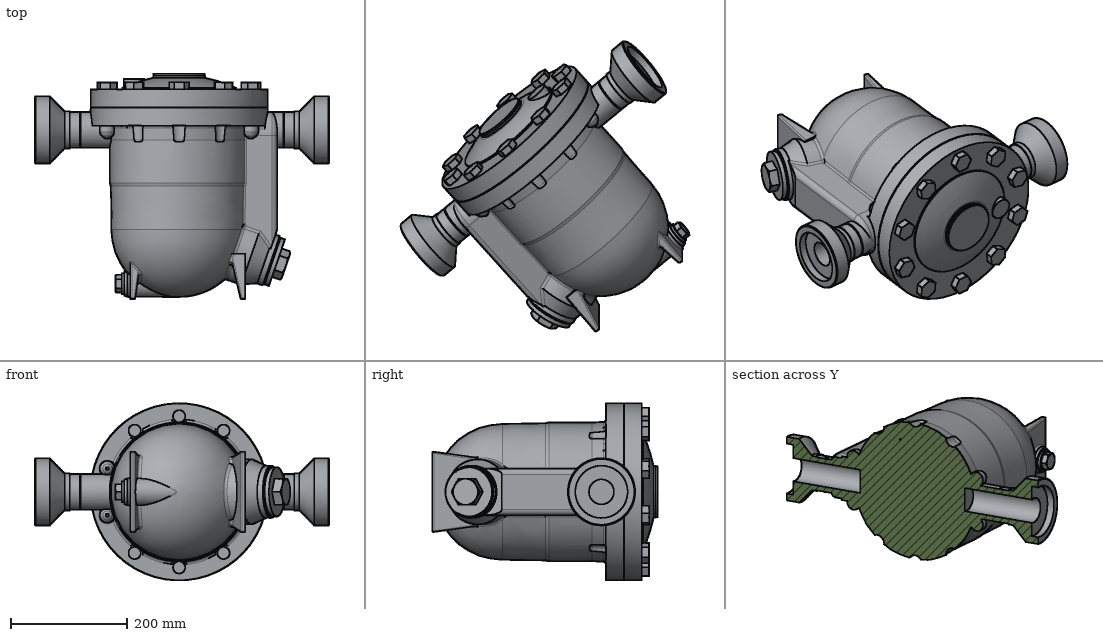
import cadquery as cq
import math


match_tolerance = 1.0
shortest_blend_span = 2.0

flange_radius = 305 / 2
flange_thickness = 31.0
flange_under_y = 7.5
joint_y = flange_under_y + flange_thickness
flange_top_y = joint_y + flange_thickness
joint_gap = 1.0
joint_gap_depth = 0.6

neck_radius = 121.0
neck_end_y = -16.6
neck_root_fillet = 4.0
shell_radius = 119.6
step_y = -91.0
step_length = 5.5
below_step_radius = 118.2
dome_radius = 117.0
dome_center_y = -170.5

hex_sides = 6
bolt_count = 10
bolt_circle_radius = 130.0
bolt_pitch_angle = 360 / bolt_count
head_corner_diameter = 34.6
head_height = 12.3
shank_diameter = 21.0
shank_recess = 0.5
scallop_radius = 14.0
scallop_end_y = -20.7
scallop_end_fillet = 4.0
cap_angles = (18, 162, 198, 342)
cap_radius = 13.0
cap_root_fillet = 1.5
cap_shoulder_y = -3.0
cap_corner_radius = 8.0
cap_corner_y = -11.5
cap_tip_y = -15.5
cap_tip_radius = 2.5

cover_base_radius = 98.0
cover_base_y = 72.2
crown_root_radius = 48.6
crown_root_y = 88.7
crown_mid_radius = 75.0
crown_mid_y = 81.3
disc_radius = 89.8 / 2
disc_chamfer = 0.8
disc_line_y = 93.4
cover_top_y = 96.8
cover_boss_diameter = 36.0
cover_boss_x = -77.5
cover_boss_top_y = 87.9

overall_length = 506.0
pipe_middle_x = 5.0
half_length = overall_length / 2
pipe_radius = 31.0
socket_radius = 58.0
socket_length = 25.5
socket_chamfer = 1.5
cone_length = 25.5
weld_radius = 32.2
weld_start = 59.6
seam_offset = 77.0
seam_width = 1.5
seam_depth = 0.5
socket_bore_diameter = 90.0
socket_bore_depth = 13.0
pipe_bore_diameter = 43.0
left_bore_end_x = -100.0

passage_half_width = 40.0
passage_round_y = -9.2
passage_outer_x = 169.0
passage_edge_fillet = 10.0
passage_root_fillet = 4.0
passage_strainer_fillet = 8.0
passage_end_y = -205.0
passage_trim_distance = 160.0

strainer_tilt = 19.0
strainer_radius = 56.0
strainer_root_fillet = 6.0
taper_start = 132.0
taper_end = 157.5
strainer_face_radius = 45.0
strainer_face = 167.5
gasket_radius = 83 / 2
gasket_end = 170.0
plug_flange_radius = 85 / 2
plug_flange_end = 178.0
plug_hex_corner_diameter = 52.0
plug_hex_end = 194.5
hex_chamfer_angle = 30.0

drain_y = -264.4
drain_radius = 23.0
drain_root_fillet = 3.5
drain_face_x = -89.0
drain_nose_radius = 21.0
drain_nose_x = -94.0
drain_flange_radius = 18.0
drain_flange_x = -98.7
drain_hex_corner_diameter = 30.7
drain_hex_x = -109.5

foot_bottom_y = -291.0
foot_bottom_half_width = 69.5
foot_side_taper = 8.0
foot_tip_thickness = 8.5
foot_edge_fillet = 2.5
foot_root_fillet = 4.0
foot_root_reach = 26.0
left_foot_x = -84.0
left_foot_taper = 8.0
left_foot_top_y = -218.0
right_foot_x = 114.2
right_foot_taper = 13.0
right_foot_top_y = -213.0
foot_root_top_y = right_foot_top_y - foot_edge_fillet / 2


def along_y(x, z, diameter, start_y, end_y):
    """Cylinder parallel to Y."""
    base = cq.Workplane("XZ", origin=(x, start_y, z))
    return base.circle(diameter / 2).extrude(start_y - end_y)


def plug_hexagon(start_x, corner_diameter, height):
    """Hexagon along +X with a chamfered outer end."""
    corner_radius = corner_diameter / 2
    flat_radius = corner_radius * math.cos(math.pi / hex_sides)
    chamfer_drop = (corner_radius - flat_radius) * math.tan(math.radians(hex_chamfer_angle))
    prism = cq.Workplane("YZ").polygon(hex_sides, corner_diameter).extrude(height)
    envelope = (
        cq.Workplane("XY")
        .lineTo(0, corner_radius)
        .lineTo(height - chamfer_drop, corner_radius)
        .lineTo(height, flat_radius)
        .lineTo(height, 0)
        .close()
        .revolve(360, (0, 0), (1, 0))
    )
    return prism.intersect(envelope).translate((start_x, 0, 0))


def bolt_angles():
    return [90 + index * bolt_pitch_angle for index in range(bolt_count)]


def bolt_position(angle):
    radians = math.radians(angle)
    return bolt_circle_radius * math.cos(radians), bolt_circle_radius * math.sin(radians)


def vessel():
    step_end_y = step_y - step_length
    profile = (
        cq.Workplane("XY")
        .moveTo(0, flange_top_y)
        .lineTo(flange_radius, flange_top_y)
        .lineTo(flange_radius, flange_under_y)
        .lineTo(neck_radius + neck_root_fillet, flange_under_y)
        .radiusArc((neck_radius, flange_under_y - neck_root_fillet), -neck_root_fillet)
        .lineTo(shell_radius, neck_end_y)
        .lineTo(shell_radius, step_y)
        .lineTo(below_step_radius, step_end_y)
        .lineTo(dome_radius, dome_center_y)
        .radiusArc((0, dome_center_y - dome_radius), dome_radius)
        .close()
    )
    body = profile.revolve(360, (0, 0), (0, 1))
    gap = (
        cq.Workplane("XZ", origin=(0, joint_y + joint_gap / 2, 0))
        .circle(flange_radius + joint_gap)
        .circle(flange_radius - joint_gap_depth)
        .extrude(joint_gap)
    )
    return body.cut(gap)


def cover_top():
    profile = (
        cq.Workplane("XY")
        .moveTo(0, flange_top_y)
        .lineTo(cover_base_radius, flange_top_y)
        .lineTo(cover_base_radius, cover_base_y)
        .threePointArc((crown_mid_radius, crown_mid_y), (crown_root_radius, crown_root_y))
        .lineTo(disc_radius, crown_root_y + disc_chamfer)
        .lineTo(disc_radius, disc_line_y)
        .lineTo(disc_radius - disc_chamfer, disc_line_y)
        .lineTo(disc_radius - disc_chamfer, cover_top_y)
        .lineTo(0, cover_top_y)
        .close()
    )
    crown = profile.revolve(360, (0, 0), (0, 1))
    return crown.union(along_y(cover_boss_x, 0, cover_boss_diameter, cover_boss_top_y, flange_top_y))


def bolt_heads():
    heads = cq.Workplane("XY")
    for angle in bolt_angles():
        head = (
            cq.Workplane("XZ", origin=(0, flange_top_y + head_height, 0))
            .center(bolt_circle_radius, 0)
            .transformed(rotate=(0, 0, 90))
            .polygon(hex_sides, head_corner_diameter)
            .extrude(head_height)
            .rotate((0, 0, 0), (0, 1, 0), -angle)
        )
        heads = heads.union(head)
    return heads


def nut_caps():
    profile = (
        cq.Workplane("XY")
        .moveTo(0, flange_under_y)
        .lineTo(cap_radius + cap_root_fillet, flange_under_y)
        .radiusArc((cap_radius, flange_under_y - cap_root_fillet), -cap_root_fillet)
        .lineTo(cap_radius, cap_shoulder_y)
        .radiusArc((cap_corner_radius, cap_corner_y), cap_radius)
        .lineTo(cap_tip_radius, cap_tip_y)
        .lineTo(0, cap_tip_y)
        .close()
    )
    cap = profile.revolve(360, (0, 0), (0, 1))
    caps = cq.Workplane("XY")
    for angle in cap_angles:
        x, z = bolt_position(angle)
        caps = caps.union(cap.translate((x, 0, z)))
    return caps


def bolt_clearances():
    """Scallops in the neck and the slightly sunk shank ends at the bolts without a cap."""
    cuts = cq.Workplane("XY")
    for angle in bolt_angles():
        if angle % 360 in cap_angles:
            continue
        x, z = bolt_position(angle)
        scallop = along_y(x, z, 2 * scallop_radius, flange_under_y, scallop_end_y)
        scallop = scallop.faces("<Y").edges().fillet(scallop_end_fillet)
        shank_end = along_y(x, z, shank_diameter, flange_under_y + shank_recess, flange_under_y)
        cuts = cuts.union(scallop).union(shank_end)
    return cuts


def pipe_end():
    """Half of the pipe run: socket, cone, weld bead and pipe, built toward +X from x = 0."""
    weld_x = half_length - weld_start
    cone_x = half_length - socket_length - cone_length
    profile = (
        cq.Workplane("XY")
        .lineTo(0, pipe_radius)
        .lineTo(half_length - seam_offset - seam_width, pipe_radius)
        .lineTo(half_length - seam_offset - seam_width, pipe_radius - seam_depth)
        .lineTo(half_length - seam_offset, pipe_radius - seam_depth)
        .lineTo(half_length - seam_offset, pipe_radius)
        .lineTo(weld_x, pipe_radius)
        .lineTo(weld_x, weld_radius)
        .lineTo(cone_x, weld_radius)
        .lineTo(half_length - socket_length, socket_radius)
        .lineTo(half_length - socket_chamfer, socket_radius)
        .lineTo(half_length, socket_radius - socket_chamfer)
        .lineTo(half_length, 0)
        .close()
    )
    return profile.revolve(360, (0, 0), (1, 0))


def pipe_run():
    right = pipe_end()
    left = right.mirror("YZ")
    return right.union(left).translate((pipe_middle_x, 0, 0))


def bore_from(end_x, diameter, depth):
    """Bore along X starting at end_x; a negative depth runs toward -X."""
    return cq.Workplane("YZ", origin=(end_x, 0, 0)).circle(diameter / 2).extrude(depth)


def pipe_bores():
    left_x = pipe_middle_x - half_length
    right_x = pipe_middle_x + half_length
    bore_depth = left_bore_end_x - left_x
    bores = bore_from(left_x, socket_bore_diameter, socket_bore_depth)
    bores = bores.union(bore_from(left_x, pipe_bore_diameter, bore_depth))
    bores = bores.union(bore_from(right_x, socket_bore_diameter, -socket_bore_depth))
    return bores.union(bore_from(right_x, pipe_bore_diameter, -bore_depth))


def tilt_to_strainer(shape):
    """Move a shape built along +X from the origin onto the inclined strainer axis."""
    return shape.rotate((0, 0, 0), (0, 0, 1), -strainer_tilt).translate((0, dome_center_y, 0))


def outlet_passage():
    """Round-ended block toward +X, trimmed square to the strainer axis so it stays behind the boss face."""
    block = (
        cq.Workplane("YZ")
        .moveTo(passage_end_y, -passage_half_width)
        .lineTo(passage_round_y, -passage_half_width)
        .radiusArc((passage_round_y, passage_half_width), -passage_half_width)
        .lineTo(passage_end_y, passage_half_width)
        .close()
        .extrude(passage_outer_x)
    )
    block = block.faces(">X").edges("not <Y").fillet(passage_edge_fillet)
    keep = cq.Workplane("YZ").rect(2 * overall_length, 2 * overall_length).extrude(passage_trim_distance)
    keep = keep.union(keep.mirror("YZ"))
    return block.intersect(tilt_to_strainer(keep))


def strainer():
    fillet_x = math.sqrt(
        (dome_radius + strainer_root_fillet) ** 2 - (strainer_radius + strainer_root_fillet) ** 2
    )
    dome_share = dome_radius / (dome_radius + strainer_root_fillet)
    root_x = fillet_x * dome_share
    root_radius = (strainer_radius + strainer_root_fillet) * dome_share
    profile = (
        cq.Workplane("XY")
        .lineTo(0, root_radius)
        .lineTo(root_x, root_radius)
        .radiusArc((fillet_x, strainer_radius), -strainer_root_fillet)
        .lineTo(taper_start, strainer_radius)
        .lineTo(taper_end, strainer_face_radius)
        .lineTo(strainer_face, strainer_face_radius)
        .lineTo(strainer_face, gasket_radius)
        .lineTo(gasket_end, gasket_radius)
        .lineTo(gasket_end, plug_flange_radius)
        .lineTo(plug_flange_end, plug_flange_radius)
        .lineTo(plug_flange_end, 0)
        .close()
    )
    boss = profile.revolve(360, (0, 0), (1, 0))
    hexagon = plug_hexagon(plug_flange_end, plug_hex_corner_diameter, plug_hex_end - plug_flange_end)
    return tilt_to_strainer(boss.union(hexagon))


def add_passage(body):
    """Join the passage to the vessel, filleting its flat sides to the shell."""
    passage_root_x = math.sqrt(dome_radius ** 2 - passage_half_width ** 2)

    def is_root(edge):
        middle = edge.positionAt(0.5)
        on_side = abs(abs(middle.z) - passage_half_width) < match_tolerance
        return on_side and middle.y < 0 and abs(middle.x - passage_root_x) < passage_root_fillet

    return body.union(outlet_passage()).edges().filter(is_root).fillet(passage_root_fillet)


def strainer_with_passage():
    """Strainer boss blended into the flat sides of the passage."""

    def is_root(edge):
        middle = edge.positionAt(0.5)
        span = abs(edge.startPoint().x - edge.endPoint().x)
        on_side = abs(abs(middle.z) - passage_half_width) < match_tolerance
        meets_boss = middle.y < dome_center_y / 2 and middle.x < passage_outer_x - passage_edge_fillet
        is_section = edge.geomType() in ("LINE", "HYPERBOLA")
        return on_side and meets_boss and is_section and span > shortest_blend_span

    joined = outlet_passage().union(strainer())
    return joined.edges().filter(is_root).fillet(passage_strainer_fillet)


def drain():
    profile = (
        cq.Workplane("XY")
        .lineTo(0, drain_radius)
        .lineTo(left_foot_x, drain_radius)
        .lineTo(left_foot_x, drain_radius + drain_root_fillet)
        .radiusArc((left_foot_x - drain_root_fillet, drain_radius), drain_root_fillet)
        .lineTo(drain_face_x, drain_radius)
        .lineTo(drain_nose_x, drain_nose_radius)
        .lineTo(drain_nose_x, drain_flange_radius)
        .lineTo(drain_flange_x, drain_flange_radius)
        .lineTo(drain_flange_x, 0)
        .close()
    )
    boss = profile.revolve(360, (0, 0), (1, 0))
    hexagon = plug_hexagon(-drain_flange_x, drain_hex_corner_diameter, drain_flange_x - drain_hex_x)
    hexagon = hexagon.mirror("YZ")
    return boss.union(hexagon).translate((0, drain_y, 0))


def foot(outer_x, inward, thickness_taper, top_y):
    """Foot plate with a flat outer face, thickening upward and narrowing in Z toward its top."""
    height = top_y - foot_bottom_y
    tip_x = outer_x + inward * foot_tip_thickness
    top_x = tip_x + inward * height * math.tan(math.radians(thickness_taper))
    top_half_width = foot_bottom_half_width - height * math.tan(math.radians(foot_side_taper))
    side = (
        cq.Workplane("XY")
        .polyline([(outer_x, foot_bottom_y), (tip_x, foot_bottom_y), (top_x, top_y), (outer_x, top_y)])
        .close()
        .extrude(foot_bottom_half_width, both=True)
    )
    outline = (
        cq.Workplane("YZ")
        .polyline([
            (foot_bottom_y, -foot_bottom_half_width),
            (foot_bottom_y, foot_bottom_half_width),
            (top_y, top_half_width),
            (top_y, -top_half_width),
        ])
        .close()
        .extrude(half_length, both=True)
    )
    plate = side.intersect(outline)
    return plate.edges("not >Y").fillet(foot_edge_fillet)


def add_foot(body, plate, outer_x):
    """Join a foot to the dome, filleting where its inner face and its sides meet the dome."""
    dome_center = cq.Vector(0, dome_center_y, 0)

    def is_root(edge):
        middle = edge.positionAt(0.5)
        on_dome = abs((middle - dome_center).Length - dome_radius) < match_tolerance
        near_foot = abs(middle.x - outer_x) < foot_root_reach
        below_top = middle.y < foot_root_top_y
        return on_dome and near_foot and below_top

    return body.union(plate).edges().filter(is_root).fillet(foot_root_fillet)


left_foot = foot(left_foot_x, 1, left_foot_taper, left_foot_top_y)
right_foot = foot(right_foot_x, -1, right_foot_taper, right_foot_top_y)
body = add_foot(vessel(), left_foot, left_foot_x)
body = add_foot(body, right_foot, right_foot_x)
body = add_passage(body)
body = body.union(strainer_with_passage()).union(drain())
body = body.cut(bolt_clearances())
body = body.union(pipe_run()).union(nut_caps()).union(cover_top()).union(bolt_heads())
result = body.cut(pipe_bores())